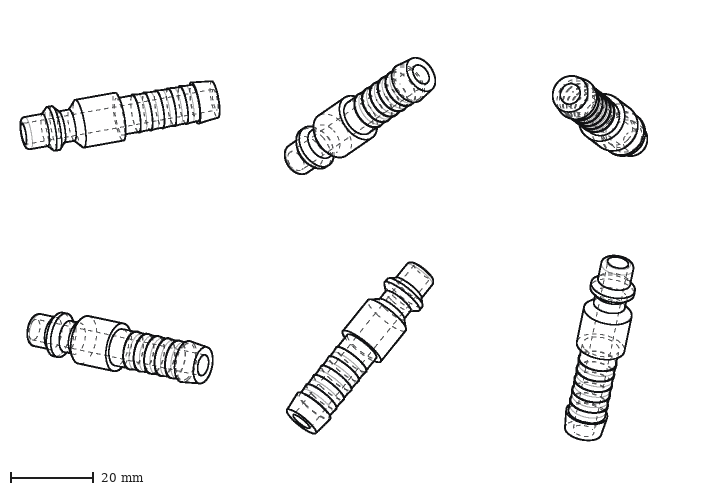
import cadquery as cq

total_length = 48.0
bore_radius = 5.1 / 2

tip_radius = 7.95 / 2
tip_rounding = 1.0

collar_radius = 10.85 / 2
collar_front_cone_start = 5.4
collar_front = 6.8
collar_back = 8.0
collar_back_cone_end = 9.45

neck_radius = 7.75 / 2
body_radius = 11.8 / 2
body_back = total_length / 2
body_length = 10.0
body_cone_length = 1.9
body_front = body_back - body_length
neck_back = body_front - body_cone_length

shank_radius = 9.0 / 2
barb_radius = 9.4 / 2
barb_count = 5
barb_pitch = 3.0
barb_length = barb_pitch / 2
head_length = 5.0
head_radius = 10.2 / 2
head_end_radius = 9.0 / 2
head_front = total_length - head_length


def revolve_about_y(sketch):
    """Turn a closed half profile (X = radius) into a solid."""
    return sketch.close().revolve(360, (0, 0, 0), (0, 1, 0))


def make_plug():
    """Tip, locking collar, neck and main body."""
    return revolve_about_y(
        cq.Workplane("XY")
        .lineTo(tip_radius - tip_rounding, 0)
        .radiusArc((tip_radius, tip_rounding), -tip_rounding)
        .lineTo(tip_radius, collar_front_cone_start)
        .lineTo(collar_radius, collar_front)
        .lineTo(collar_radius, collar_back)
        .lineTo(neck_radius, collar_back_cone_end)
        .lineTo(neck_radius, neck_back)
        .lineTo(body_radius, body_front)
        .lineTo(body_radius, body_back)
        .lineTo(0, body_back)
    )


def make_hose_tail():
    """Shank with evenly spaced barbs, ending in the tapered head."""
    profile = cq.Workplane("XY").moveTo(0, body_back).lineTo(shank_radius, body_back)
    for index in reversed(range(barb_count)):
        barb_back = head_front - barb_length - index * barb_pitch
        barb_front = barb_back - barb_length
        profile = (
            profile.lineTo(shank_radius, barb_front)
            .lineTo(barb_radius, barb_front)
            .lineTo(shank_radius, barb_back)
        )
    return revolve_about_y(
        profile.lineTo(shank_radius, head_front)
        .lineTo(head_radius, head_front)
        .lineTo(head_end_radius, total_length)
        .lineTo(0, total_length)
    )


def make_bore():
    """Through hole along the full length."""
    return revolve_about_y(
        cq.Workplane("XY")
        .lineTo(bore_radius, 0)
        .lineTo(bore_radius, total_length)
        .lineTo(0, total_length)
    )


result = make_plug().union(make_hose_tail()).cut(make_bore())